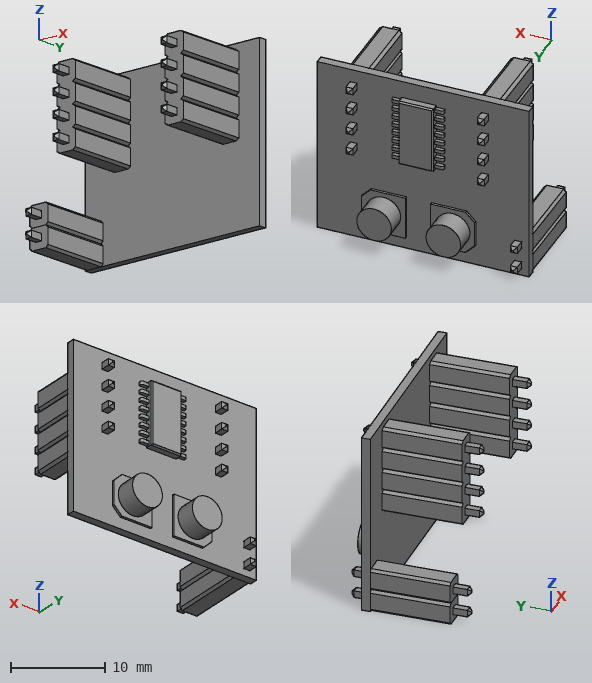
import cadquery as cq

board_width = 24.5
board_height = 21.0
board_thickness = 1.0

pitch = 2.55
housing_length = 9.0
pin_front_length = 2.0
pin_back_length = 1.5
pin_size = 0.8
pin_tip_length = 0.37
pin_tip_size = 0.2

strip_columns = [5.1, 20.29]
strip_pin_count = 4
strip_cell_width = 2.6
strip_chamfer_x = 0.37
strip_chamfer_z = 0.27
strip_top_pin_z = 19.04

single_count = 2
single_cell_width = pitch
single_chamfer = 0.3
single_x = single_cell_width / 2
single_bottom_z = pitch / 2

chip_x = 12.72
chip_z = 15.05
chip_width = 4.0
chip_length = 7.9
chip_height = 1.0
chip_bevel_height = 0.25
chip_bevel_inset = 0.12
lead_count = 8
lead_pitch = 1.0
lead_width = 0.42
lead_span = 6.0
lead_height = 0.47
lead_edge_radius = 0.17

capacitor_z = 3.97
capacitor_spacing = 8.0
capacitor_diameter = 4.0
capacitor_height = 2.8
capacitor_base_size = 5.1
capacitor_base_height = 0.3
capacitor_base_chamfer = 1.05


def box(x_size, z_size, x, z, y_start, y_end):
    """A block centred on (x, z) that reaches from y_start to y_end."""
    depth = y_end - y_start
    return cq.Workplane("XY").box(x_size, depth, z_size).translate((x, (y_start + y_end) / 2, z))


def face_plane(x, y, z):
    """A plane facing +Y, with local x along +Z and local y along +X."""
    return cq.Workplane(cq.Plane(origin=(x, y, z), xDir=(0, 0, 1), normal=(0, 1, 0)))


def pin(x, z):
    """A square pin through housing and board, with a blunt pyramid at both ends."""
    front = -housing_length - pin_front_length + pin_tip_length
    back = board_thickness + pin_back_length - pin_tip_length
    shank = box(pin_size, pin_size, x, z, front, back)
    back_tip = (
        face_plane(x, back, z).rect(pin_size, pin_size)
        .workplane(offset=pin_tip_length).rect(pin_tip_size, pin_tip_size).loft(ruled=True)
    )
    front_tip = (
        face_plane(x, front, z).rect(pin_size, pin_size)
        .workplane(offset=-pin_tip_length).rect(pin_tip_size, pin_tip_size).loft(ruled=True)
    )
    return shank.union(back_tip).union(front_tip)


def housing_cell(x, z, width, chamfer_x, chamfer_z):
    """One header cell: a block one pitch high whose four long edges are chamfered."""
    half_x = width / 2
    half_z = pitch / 2
    outline = [
        (half_z, half_x - chamfer_x),
        (half_z, chamfer_x - half_x),
        (half_z - chamfer_z, -half_x),
        (chamfer_z - half_z, -half_x),
        (-half_z, chamfer_x - half_x),
        (-half_z, half_x - chamfer_x),
        (chamfer_z - half_z, half_x),
        (half_z - chamfer_z, half_x),
    ]
    return face_plane(x, -housing_length, z).polyline(outline).close().extrude(housing_length)


def strip(x):
    """A vertical four-pin header strip."""
    body = cq.Workplane("XY")
    for index in range(strip_pin_count):
        z = strip_top_pin_z - index * pitch
        body = body.union(housing_cell(x, z, strip_cell_width, strip_chamfer_x, strip_chamfer_z))
        body = body.union(pin(x, z))
    return body


def single_header(z):
    """A header with one pin."""
    housing = housing_cell(single_x, z, single_cell_width, single_chamfer, single_chamfer)
    return housing.union(pin(single_x, z))


def chip():
    """A bevelled package with a row of leads on its left and right sides."""
    top = board_thickness + chip_height
    bevel_start = top - chip_bevel_height
    body = box(chip_width, chip_length, chip_x, chip_z, board_thickness, bevel_start)
    bevel = (
        face_plane(chip_x, bevel_start, chip_z).rect(chip_length, chip_width)
        .workplane(offset=chip_bevel_height)
        .rect(chip_length - 2 * chip_bevel_inset, chip_width - 2 * chip_bevel_inset)
        .loft(ruled=True)
    )
    body = body.union(bevel)
    lead_top = board_thickness + lead_height
    for index in range(lead_count):
        z = chip_z + (index - (lead_count - 1) / 2) * lead_pitch
        lead_pair = box(lead_span, lead_width, chip_x, z, board_thickness, lead_top)
        lead_pair = lead_pair.faces(">Y").edges("|Z").fillet(lead_edge_radius)
        body = body.union(lead_pair)
    return body


def capacitor(side):
    """A can on a base whose two outer corners are cut; side is -1 for left, +1 for right."""
    x = chip_x + side * capacitor_spacing / 2
    base_top = board_thickness + capacitor_base_height
    base = box(capacitor_base_size, capacitor_base_size, x, capacitor_z, board_thickness, base_top)
    outer_edges = base.faces(">X" if side > 0 else "<X").edges("|Y")
    base = outer_edges.chamfer(capacitor_base_chamfer)
    can = (
        face_plane(x, base_top, capacitor_z).circle(capacitor_diameter / 2)
        .extrude(capacitor_height - capacitor_base_height)
    )
    return base.union(can)


single_headers = [single_header(single_bottom_z + index * pitch) for index in range(single_count)]

board = box(board_width, board_height, board_width / 2, board_height / 2, 0, board_thickness)
for column in strip_columns:
    board = board.union(strip(column))
board = board.union(chip())
for side in (-1, 1):
    board = board.union(capacitor(side))
for header in single_headers:
    board = board.cut(header)

result = cq.Compound.makeCompound([board.val(), *[header.val() for header in single_headers]])